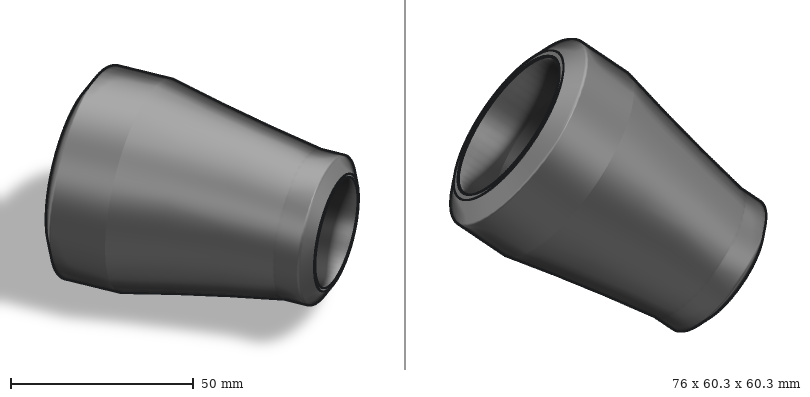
import cadquery as cq
import math

LENGTH = 76.0
LARGE_RADIUS = 60.3 / 2
SMALL_RADIUS = 42.4 / 2
LARGE_BORE_RADIUS = 44.3 / 2
SMALL_BORE_RADIUS = 31.2 / 2

LARGE_COLLAR = 20.0
SMALL_COLLAR = 10.0

LARGE_BORE_LENGTH = 12.3

BEVEL_ANGLE = math.radians(30)
LARGE_FACE_RADIUS = 24.1
SMALL_FACE_RADIUS = 16.6
BEVEL_ROUND = 1.0
MOUTH_CHAMFER = 0.2
RIM_SEARCH = 0.1

TAPER_SAG = 0.4

LEFT = -LENGTH / 2
RIGHT = LENGTH / 2
LARGE_COLLAR_END = LEFT + LARGE_COLLAR
SMALL_COLLAR_END = RIGHT - SMALL_COLLAR


def bevel_length(collar_radius, face_radius):
    """Axial length of the bevel between an end face and its collar."""
    return (collar_radius - face_radius) * math.tan(BEVEL_ANGLE)


def point_below_middle(start, end, sag):
    """Point at the given distance from the middle of a chord, towards the axis."""
    run = end[0] - start[0]
    rise = end[1] - start[1]
    chord = math.hypot(run, rise)
    middle_x = (start[0] + end[0]) / 2
    middle_radius = (start[1] + end[1]) / 2
    return (middle_x + sag * rise / chord, middle_radius - sag * run / chord)


def outer_body():
    large_bevel_end = LEFT + bevel_length(LARGE_RADIUS, LARGE_FACE_RADIUS)
    small_bevel_end = RIGHT - bevel_length(SMALL_RADIUS, SMALL_FACE_RADIUS)
    taper_start = (LARGE_COLLAR_END, LARGE_RADIUS)
    taper_end = (SMALL_COLLAR_END, SMALL_RADIUS)
    body = (
        cq.Workplane("XY")
        .moveTo(LEFT, 0)
        .lineTo(LEFT, LARGE_FACE_RADIUS)
        .lineTo(large_bevel_end, LARGE_RADIUS)
        .lineTo(*taper_start)
        .threePointArc(point_below_middle(taper_start, taper_end, TAPER_SAG), taper_end)
        .lineTo(small_bevel_end, SMALL_RADIUS)
        .lineTo(RIGHT, SMALL_FACE_RADIUS)
        .lineTo(RIGHT, 0)
        .close()
        .revolve(360, (0, 0, 0), (1, 0, 0))
    )
    for bevel_end in (large_bevel_end, small_bevel_end):
        rim = cq.selectors.BoxSelector(
            (bevel_end - RIM_SEARCH, -RIM_SEARCH, -RIM_SEARCH),
            (bevel_end + RIM_SEARCH, RIM_SEARCH, RIM_SEARCH),
        )
        body = body.edges("%CIRCLE").edges(rim).fillet(BEVEL_ROUND)
    return body


def bore():
    bore_taper_start = (LEFT + LARGE_BORE_LENGTH, LARGE_BORE_RADIUS)
    bore_taper_end = (SMALL_COLLAR_END, SMALL_BORE_RADIUS)
    return (
        cq.Workplane("XY")
        .moveTo(LEFT, 0)
        .lineTo(LEFT, LARGE_BORE_RADIUS + MOUTH_CHAMFER)
        .lineTo(LEFT + MOUTH_CHAMFER, LARGE_BORE_RADIUS)
        .lineTo(*bore_taper_start)
        .threePointArc(point_below_middle(bore_taper_start, bore_taper_end, TAPER_SAG), bore_taper_end)
        .lineTo(RIGHT, SMALL_BORE_RADIUS)
        .lineTo(RIGHT, 0)
        .close()
        .revolve(360, (0, 0, 0), (1, 0, 0))
    )


result = outer_body().cut(bore())